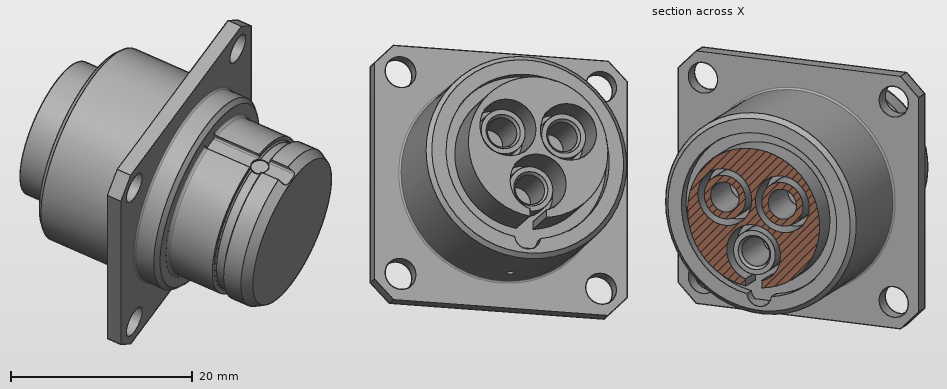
import cadquery as cq
import math

overall_length = 30.0
shell_start = 4.17
shell_end = 19.5
flange_start = 14.82
flange_thickness = 1.7
groove_start = 25.23
groove_end = 26.67
nose_start = 28.85

flange_side = 29.0
corner_chamfer = 2.2
mount_spacing = 23.0
mount_diameter = 3.5
flange_fillet = 0.2

shell_radius = 23.0 / 2
shell_chamfer = 0.5
barrel_radius = 18.8 / 2
barrel_fillet = 0.35
groove_radius = 8.8
groove_fillet = 0.18
groove_wall_slope = 0.18
nose_radius = 8.75

slot_width = 2.1
slot_floor = 8.82
slot_fillet = 0.18
dimple_x = 25.9
dimple_diameter = 2.0
dimple_depth = 0.2

recess_radius = 9.35
recess_depth = 1.25
insert_radius = 16.0 / 2
key_radius = 1.5
key_center_drop = 9.03
key_pocket_top = 10.1
key_pocket_depth = 7.2
vent_x = 11.07
vent_diameter = 1.0

contact_count = 3
contact_circle_radius = 8.0 / 2
cavity_diameter = 6.42
contact_diameter = 5.05
contact_setback = 1.9
lowest_contact_setback = 2.9
socket_diameter = 3.35
socket_mouth_diameter = 3.9
socket_mouth_depth = 0.4
socket_depth = 6.0
insert_slot_width = 1.92

flange_end = flange_start + flange_thickness
recess_floor = shell_start + recess_depth


def x_cylinder(diameter, start, end, y=0, z=0):
    """Solid cylinder lying along X between two stations."""
    disc = cq.Workplane("YZ", origin=(start, y, z)).circle(diameter / 2)
    return disc.extrude(end - start)


def turned_body():
    """Shell, barrel and nose revolved about X as one profile."""
    profile = (
        cq.Workplane("XY")
        .moveTo(shell_start, 0)
        .lineTo(shell_start, shell_radius - shell_chamfer)
        .lineTo(shell_start + shell_chamfer, shell_radius)
        .lineTo(shell_end - shell_chamfer, shell_radius)
        .lineTo(shell_end, shell_radius - shell_chamfer)
        .lineTo(shell_end, barrel_radius + barrel_fillet)
        .radiusArc((shell_end + barrel_fillet, barrel_radius), -barrel_fillet)
        .lineTo(groove_start, barrel_radius)
        .lineTo(groove_start, groove_radius + groove_fillet)
        .radiusArc((groove_start + groove_fillet, groove_radius), -groove_fillet)
        .lineTo(groove_end - groove_wall_slope, groove_radius)
        .lineTo(groove_end, barrel_radius)
        .lineTo(nose_start, barrel_radius)
        .lineTo(overall_length, nose_radius)
        .lineTo(overall_length, 0)
        .close()
    )
    return profile.revolve(360, (0, 0, 0), (1, 0, 0))


def flange():
    """Square plate with chamfered corners and four mounting holes."""
    plate = (
        cq.Workplane("YZ", origin=(flange_start, 0, 0))
        .rect(flange_side, flange_side)
        .extrude(flange_thickness)
        .edges("|X")
        .chamfer(corner_chamfer)
    )
    holes = (
        cq.Workplane("YZ", origin=(flange_start, 0, 0))
        .rect(mount_spacing, mount_spacing, forConstruction=True)
        .vertices()
        .circle(mount_diameter / 2)
        .extrude(flange_thickness)
    )
    return plate.cut(holes)


def root_fillets():
    """Fillet rings where the shell meets both faces of the flange."""
    profile = (
        cq.Workplane("XY")
        .moveTo(flange_start - flange_fillet, 0)
        .lineTo(flange_start - flange_fillet, shell_radius)
        .radiusArc((flange_start, shell_radius + flange_fillet), -flange_fillet)
        .lineTo(flange_end, shell_radius + flange_fillet)
        .radiusArc((flange_end + flange_fillet, shell_radius), -flange_fillet)
        .lineTo(flange_end + flange_fillet, 0)
        .close()
    )
    return profile.revolve(360, (0, 0, 0), (1, 0, 0))


def barrel_slot():
    """Flat-floored slot with filleted lower edges, plus a shallow round dimple in its floor."""
    slot_length = overall_length - shell_end
    slot_height = shell_radius - slot_floor
    slot = (
        cq.Workplane("XY", origin=(shell_end + slot_length / 2, 0, slot_floor))
        .box(slot_length, slot_width, slot_height, centered=(True, True, False))
        .edges("|X and <Z")
        .fillet(slot_fillet)
    )
    dimple = (
        cq.Workplane("XY", origin=(dimple_x, 0, slot_floor - dimple_depth))
        .circle(dimple_diameter / 2)
        .extrude(slot_height)
    )
    return slot.union(dimple)


def front_recess():
    """Annular recess, its keyway, the pocket behind the keyway and a radial vent hole."""
    key_diameter = 2 * key_radius
    recess = x_cylinder(2 * recess_radius, shell_start, recess_floor)
    keyway = x_cylinder(key_diameter, shell_start, recess_floor, z=-key_center_drop)
    pocket_end = recess_floor + key_pocket_depth
    pocket = x_cylinder(key_diameter, recess_floor, pocket_end, z=-key_center_drop)
    above_pocket = (
        cq.Workplane("XY", origin=(recess_floor, 0, -key_pocket_top))
        .box(key_pocket_depth, key_diameter, key_diameter, centered=(False, True, False))
    )
    vent = (
        cq.Workplane("XY", origin=(vent_x, 0, -shell_radius))
        .circle(vent_diameter / 2)
        .extrude(shell_radius - key_pocket_top)
    )
    return recess.union(keyway).union(pocket.cut(above_pocket)).union(vent)


def contact_cutter(y, z, setback):
    """Annular clearance round one tubular contact, and the socket bored into it."""
    contact = x_cylinder(contact_diameter, setback, recess_floor, y, z)
    cavity = x_cylinder(cavity_diameter, 0, recess_floor, y, z).cut(contact)
    socket = x_cylinder(socket_diameter, setback, setback + socket_depth, y, z)
    mouth = (
        cq.Workplane("YZ", origin=(setback, y, z))
        .circle(socket_mouth_diameter / 2)
        .workplane(offset=socket_mouth_depth)
        .circle(socket_diameter / 2)
        .loft()
    )
    return cavity.union(socket).union(mouth)


def insert_slot():
    """Slot opening the lowest cavity through the insert's rim."""
    slot_top = -contact_circle_radius - contact_diameter / 2
    slot_height = insert_radius + slot_top
    return (
        cq.Workplane("XY", origin=(0, 0, -insert_radius))
        .box(recess_floor, insert_slot_width, slot_height, centered=(False, True, False))
    )


body = turned_body().union(flange()).union(root_fillets())
body = body.cut(barrel_slot()).cut(front_recess())
body = body.union(x_cylinder(2 * insert_radius, 0, recess_floor))
for index in range(contact_count):
    angle = math.radians(-90 + index * 360 / contact_count)
    contact_y = contact_circle_radius * math.cos(angle)
    contact_z = contact_circle_radius * math.sin(angle)
    setback = lowest_contact_setback if index == 0 else contact_setback
    body = body.cut(contact_cutter(contact_y, contact_z, setback))
result = body.cut(insert_slot())